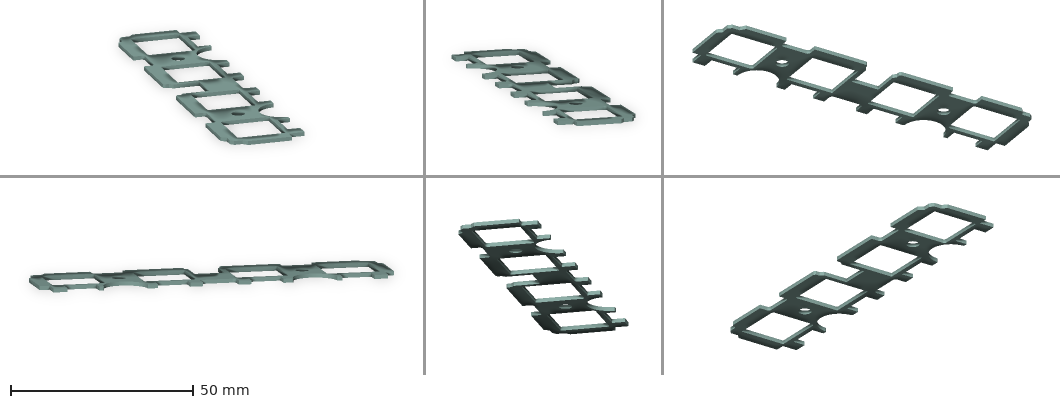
import cadquery as cq

LENGTH = 100.0
WIDTH = 23.33
THICKNESS = 1.11
HALF_LENGTH = LENGTH / 2
BACK = WIDTH / 2
FRONT = -WIDTH / 2

TAB_ROOT_Y = BACK - 3.65
SHOULDER_Y = BACK - 4.55
CENTRE_TAB_INNER_X = 5.1
CENTRE_TAB_OUTER_X = 8.6
INNER_SCALLOP_TAB_X = 17.7
OUTER_SCALLOP_TAB_X = 34.3
END_TAB_INNER_X = 43.3
END_TAB_OUTER_X = 47.2
CENTRE_RELIEF_FILLET = 1.0
SCALLOP_X = 26.7
SCALLOP_RADIUS = 6.2
SCALLOP_LIP_FILLET = 0.4

END_EDGE_FRONT_Y = BACK - 17.35
END_STEP_X = HALF_LENGTH - 1.3
END_STEP_BACK_Y = END_EDGE_FRONT_Y - 1.2
END_STEP_FRONT_Y = BACK - 20.9
CORNER_STEP_Y = FRONT + 1.5
CORNER_STEP_OUTER_X = END_STEP_X - 1.1
CORNER_STEP_INNER_X = 45.25
FRONT_EDGE_OUTER_X = 44.2
RELIEF_OUTER_X = 31.25
RELIEF_INNER_X = 22.15
RELIEF_TOP_Y = FRONT + 3.1
RELIEF_FILLET = 0.9
SLOT_HALF_WIDTH = 4.2
SLOT_TOP_Y = BACK - 13.3
SLOT_FLARE_BACK_Y = BACK - 20.8
SLOT_MOUTH_X = 5.1
SLOT_FLARE_FRONT_Y = BACK - 21.75
SLOT_MOUTH_CHAMFER = 0.5

WINDOW_BACK_Y = BACK - 5.15
WINDOW_FRONT_Y = BACK - 19.05
INNER_WINDOW_X = (5.7, 20.3)
OUTER_WINDOW_X = (31.25, 46.2)
WINDOW_FILLET = 0.25
OUTER_WINDOW_INNER_FILLET = 0.8
HOLE_DIAMETER = 3.7
HOLE_X = 25.85
HOLE_Y = BACK - 12.1


def box_between(x_range, y_range):
    """Full-thickness box spanning the given X and Y ranges."""
    x_start, x_end = x_range
    y_start, y_end = y_range
    return cq.Workplane("XY").box(
        x_end - x_start, y_end - y_start, THICKNESS, centered=False
    ).translate((x_start, y_start, 0))


def fillet_edges_near(body, points, radius):
    """Round the vertical edges standing at the given (x, y) points."""
    for x, y in points:
        edge = cq.selectors.NearestToPointSelector((x, y, THICKNESS / 2))
        body = body.edges("|Z").edges(edge).fillet(radius)
    return body


def half_outline():
    """Right half of the plate, with its tabs, steps, relief and half slot."""
    points = [
        (0, TAB_ROOT_Y),
        (CENTRE_TAB_INNER_X, TAB_ROOT_Y),
        (CENTRE_TAB_INNER_X, BACK),
        (CENTRE_TAB_OUTER_X, BACK),
        (CENTRE_TAB_OUTER_X, TAB_ROOT_Y),
        (INNER_SCALLOP_TAB_X, TAB_ROOT_Y),
        (INNER_SCALLOP_TAB_X, BACK),
        (OUTER_SCALLOP_TAB_X, BACK),
        (OUTER_SCALLOP_TAB_X, TAB_ROOT_Y),
        (END_TAB_INNER_X, TAB_ROOT_Y),
        (END_TAB_INNER_X, BACK),
        (END_TAB_OUTER_X, BACK),
        (END_TAB_OUTER_X, SHOULDER_Y),
        (HALF_LENGTH, SHOULDER_Y),
        (HALF_LENGTH, END_EDGE_FRONT_Y),
        (END_STEP_X, END_STEP_BACK_Y),
        (END_STEP_X, END_STEP_FRONT_Y),
        (CORNER_STEP_OUTER_X, CORNER_STEP_Y),
        (CORNER_STEP_INNER_X, CORNER_STEP_Y),
        (FRONT_EDGE_OUTER_X, FRONT),
        (RELIEF_OUTER_X, FRONT),
        (RELIEF_OUTER_X, RELIEF_TOP_Y),
        (RELIEF_INNER_X, RELIEF_TOP_Y),
        (RELIEF_INNER_X, FRONT),
        (SLOT_MOUTH_X + SLOT_MOUTH_CHAMFER, FRONT),
        (SLOT_MOUTH_X, FRONT + SLOT_MOUTH_CHAMFER),
        (SLOT_MOUTH_X, SLOT_FLARE_FRONT_Y),
        (SLOT_HALF_WIDTH, SLOT_FLARE_BACK_Y),
        (SLOT_HALF_WIDTH, SLOT_TOP_Y),
        (0, SLOT_TOP_Y),
    ]
    body = cq.Workplane("XY").polyline(points).close().extrude(THICKNESS)
    body = fillet_edges_near(body, [(CENTRE_TAB_INNER_X, TAB_ROOT_Y)], CENTRE_RELIEF_FILLET)
    relief_corners = [(RELIEF_OUTER_X, RELIEF_TOP_Y), (RELIEF_INNER_X, RELIEF_TOP_Y)]
    return fillet_edges_near(body, relief_corners, RELIEF_FILLET)


def cut_scallop(body):
    """Semicircular bite in the back edge with rounded lips."""
    cutter = cq.Workplane("XY").center(SCALLOP_X, BACK).circle(SCALLOP_RADIUS).extrude(THICKNESS)
    lips = [(SCALLOP_X - SCALLOP_RADIUS, BACK), (SCALLOP_X + SCALLOP_RADIUS, BACK)]
    return fillet_edges_near(body.cut(cutter), lips, SCALLOP_LIP_FILLET)


def cut_windows(body):
    """Two rectangular windows; the outer one has larger radii on its inner side."""
    y_range = (WINDOW_FRONT_Y, WINDOW_BACK_Y)
    inner = box_between(INNER_WINDOW_X, y_range).edges("|Z").fillet(WINDOW_FILLET)
    outer = box_between(OUTER_WINDOW_X, y_range)
    outer = outer.edges("|Z and >X").fillet(WINDOW_FILLET)
    inner_corners = [(OUTER_WINDOW_X[0], y) for y in y_range]
    outer = fillet_edges_near(outer, inner_corners, OUTER_WINDOW_INNER_FILLET)
    return body.cut(inner).cut(outer)


def cut_hole(body):
    """Round through hole between the two windows."""
    cutter = cq.Workplane("XY").center(HOLE_X, HOLE_Y).circle(HOLE_DIAMETER / 2).extrude(THICKNESS)
    return body.cut(cutter)


half = cut_hole(cut_windows(cut_scallop(half_outline())))
result = half.union(half.mirror("YZ")).clean().translate((0, 0, -THICKNESS / 2))